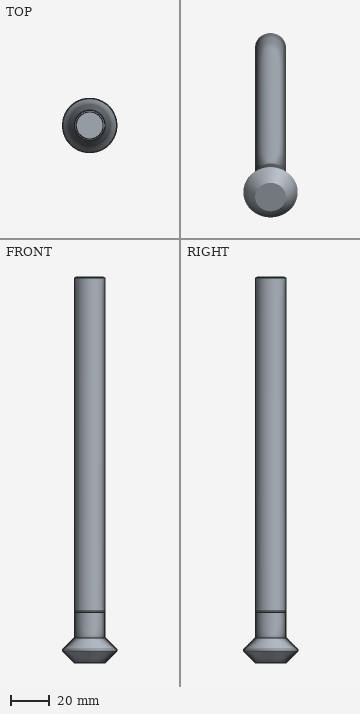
import cadquery as cq
import math

total_length = 200.0

head_height = 13.0
head_end_diameter = 16.0
rim_diameter = 28.2
rim_round_radius = 0.9

shaft_diameter = 16.0
neck_diameter = 15.5
shaft_bottom = 26.2
shoulder_height = 0.5
tip_diameter = 14.0
tip_chamfer_height = 0.5


def make_head():
    """Revolve the double cone; its flat end faces are equal."""
    end_radius = head_end_diameter / 2
    rim_radius = rim_diameter / 2
    middle = head_height / 2
    arc_half_height = rim_round_radius * math.sin(math.radians(45))
    arc_end_radius = rim_radius - rim_round_radius + arc_half_height
    return (
        cq.Workplane("XZ")
        .lineTo(end_radius, 0)
        .lineTo(arc_end_radius, middle - arc_half_height)
        .threePointArc((rim_radius, middle), (arc_end_radius, middle + arc_half_height))
        .lineTo(end_radius, head_height)
        .lineTo(0, head_height)
        .close()
        .revolve(360, (0, 0), (0, 1))
    )


def make_rod():
    """Revolve the rod, which stands on the head's flat upper face."""
    neck_radius = neck_diameter / 2
    shaft_radius = shaft_diameter / 2
    outline = [
        (0, head_height),
        (neck_radius, head_height),
        (neck_radius, shaft_bottom),
        (shaft_radius, shaft_bottom + shoulder_height),
        (shaft_radius, total_length - tip_chamfer_height),
        (tip_diameter / 2, total_length),
        (0, total_length),
    ]
    return cq.Workplane("XZ").polyline(outline).close().revolve(360, (0, 0), (0, 1))


head = make_head()
rod = make_rod()
result = cq.Compound.makeCompound([head.val(), rod.val()])